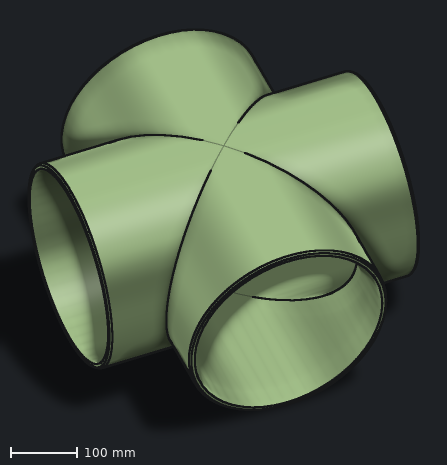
import cadquery as cq

length = 508.0
outer_diameter = 324.0
wall = 8.0

bevel_length = 3.5
bevel_depth = 2.5

outer_radius = outer_diameter / 2
inner_radius = outer_radius - wall


def along_x_and_y(body):
    """Join a body lying along X with its copy turned onto Y."""
    return body.union(body.rotate((0, 0, 0), (0, 0, 1), 90))


def cylinder_along_x(radius):
    return cq.Workplane("YZ").circle(radius).extrude(length / 2, both=True)


def beveled_pipe_body():
    """Solid pipe run with its outer end edges beveled for welding."""
    body = cylinder_along_x(outer_radius)
    return body.faces("<X or >X").chamfer(bevel_length, bevel_depth)


outside = along_x_and_y(beveled_pipe_body())
bore = along_x_and_y(cylinder_along_x(inner_radius))
result = outside.cut(bore)